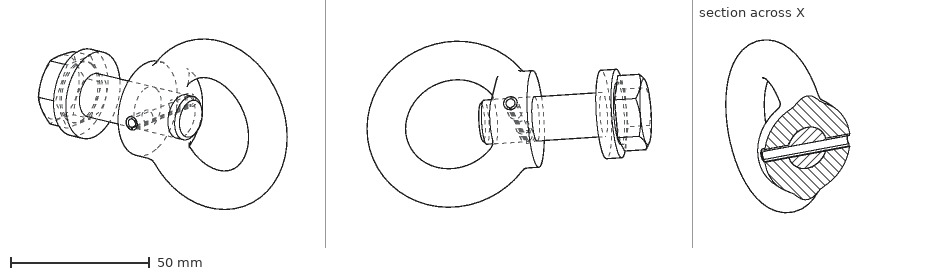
import cadquery as cq
import math

hex_flats = 24.0
hex_height = 9.0
head_circle_diameter = 23.7
head_chamfer_angle = 30
collar_diameter = 22.5
collar_height = 0.8
washer_diameter = 32.0
washer_thicknesses = [3.1, 2.5]
shank_diameter = 16.0
bolt_length = 60.0
tip_chamfer = 1.2

hub_diameter = 35.0
hub_start = 40.3
hub_round = 2.0
cone_angle = 20
cone_end = 55.7
ring_outer_diameter = 63.0
ring_tube_diameter = 14.0
overall_length = 102.0
ring_end_angle = 20
ring_blend = 4.0

pin_diameter = 5.0
pin_bore = 3.3
pin_length = 34.5
pin_slot = 0.5
pin_offset = 6.1

shank_radius = shank_diameter / 2
hub_radius = hub_diameter / 2
pin_x = hub_start + pin_offset
ring_center_x = overall_length - ring_outer_diameter / 2
ring_radius = (ring_outer_diameter - ring_tube_diameter) / 2


def x_cylinder(start, length, diameter):
    return cq.Workplane("YZ", origin=(start, 0, 0)).circle(diameter / 2).extrude(length)


def y_cylinder(length, diameter):
    return cq.Workplane("XZ", origin=(pin_x, 0, 0)).circle(diameter / 2).extrude(length / 2, both=True)


def make_head():
    corner_diameter = hex_flats / math.cos(math.radians(30))
    prism = cq.Workplane("YZ").polygon(6, corner_diameter).extrude(hex_height)
    start_radius = head_circle_diameter / 2
    corner_radius = corner_diameter / 2
    chamfer_depth = (corner_radius - start_radius) * math.tan(math.radians(head_chamfer_angle))
    envelope = (
        cq.Workplane("XY")
        .polyline([
            (0, 0),
            (0, start_radius),
            (chamfer_depth, corner_radius),
            (hex_height, corner_radius),
            (hex_height, 0),
        ])
        .close()
        .revolve(360, (0, 0, 0), (1, 0, 0))
    )
    return prism.intersect(envelope)


def make_pin():
    tube = y_cylinder(pin_length, pin_diameter).cut(y_cylinder(pin_length, pin_bore))
    slot_depth = pin_diameter / 2
    slot = cq.Workplane("XY").box(pin_slot, pin_length, slot_depth)
    return tube.cut(slot.translate((pin_x, 0, -slot_depth / 2)))


def make_bolt():
    shank = x_cylinder(0, bolt_length, shank_diameter).faces(">X").chamfer(tip_chamfer)
    bolt = make_head().union(shank)
    bolt = bolt.union(x_cylinder(hex_height, collar_height, collar_diameter))
    washer_start = hex_height + collar_height
    for thickness in washer_thicknesses:
        bolt = bolt.union(x_cylinder(washer_start, thickness, washer_diameter), clean=False)
        washer_start += thickness
    return bolt.cut(y_cylinder(pin_length, pin_diameter), clean=False).union(make_pin(), clean=False)


def make_hub():
    cone_slope = math.tan(math.radians(cone_angle))
    rim_x = cone_end - (hub_radius - shank_radius) * cone_slope
    hub = (
        cq.Workplane("XY")
        .polyline([
            (hub_start, 0),
            (hub_start, hub_radius),
            (rim_x, hub_radius),
            (cone_end, shank_radius),
            (cone_end, 0),
        ])
        .close()
        .revolve(360, (0, 0, 0), (1, 0, 0))
    )
    rim_point = (rim_x, 0, hub_radius)
    return hub.edges(cq.selectors.NearestToPointSelector(rim_point)).fillet(hub_round)


def make_ring():
    ring = (
        cq.Workplane("XY")
        .center(-ring_radius, 0)
        .circle(ring_tube_diameter / 2)
        .revolve(360 - 2 * ring_end_angle, (ring_radius, 0, 0), (ring_radius, 1, 0))
    )
    return ring.rotate((0, 0, 0), (0, 1, 0), ring_end_angle).translate((ring_center_x, 0, 0))


def make_eye():
    eye = make_hub().union(make_ring())
    for side in (1, -1):
        joint = cq.selectors.BoxSelector(
            (hub_start + hub_round, -ring_tube_diameter / 2, side * shank_radius),
            (cone_end, ring_tube_diameter / 2, side * hub_diameter),
        )
        eye = eye.edges(joint).fillet(ring_blend)
    eye = eye.cut(x_cylinder(hub_start, bolt_length - hub_start, shank_diameter))
    return eye.cut(y_cylinder(hub_diameter, pin_diameter))


bolt = make_bolt()
eye = make_eye()
result = cq.Compound.makeCompound([bolt.val(), eye.val()])